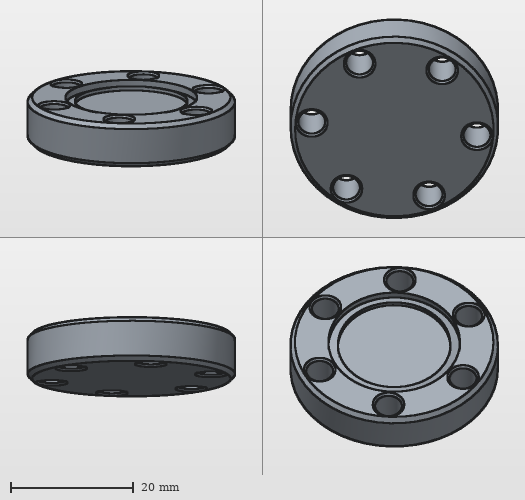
import cadquery as cq

flange_diameter = 33.78
flange_height = 7.23
edge_chamfer = 0.75

recess_diameter = 21.4
recess_depth = 1.2
knife_edge_depth = 0.65
centre_diameter = 18.3
centre_depth = 1.35

bolt_count = 6
bolt_circle_diameter = 27.0
bolt_diameter = 4.4
bolt_chamfer = 0.37


def flange_body():
    """Round disc standing on Z = 0 with both rims chamfered."""
    disc = cq.Workplane("XY").circle(flange_diameter / 2).extrude(flange_height)
    return disc.edges("%CIRCLE").chamfer(edge_chamfer)


def sealing_recess():
    """Revolved cutter whose floor leaves a raised knife edge around the centre."""
    profile = (
        cq.Workplane("XZ")
        .moveTo(0, flange_height)
        .lineTo(recess_diameter / 2, flange_height)
        .lineTo(recess_diameter / 2, flange_height - recess_depth)
        .lineTo(centre_diameter / 2, flange_height - knife_edge_depth)
        .lineTo(centre_diameter / 2, flange_height - centre_depth)
        .lineTo(0, flange_height - centre_depth)
        .close()
    )
    return profile.revolve(360, (0, 0, 0), (0, 1, 0))


def bolt_holes():
    """Ring of through-hole cutters, one on +Y, each flared at both faces."""
    half_profile = (
        cq.Workplane("XZ")
        .lineTo(bolt_diameter / 2 + bolt_chamfer, 0)
        .lineTo(bolt_diameter / 2, bolt_chamfer)
        .lineTo(bolt_diameter / 2, flange_height - bolt_chamfer)
        .lineTo(bolt_diameter / 2 + bolt_chamfer, flange_height)
        .lineTo(0, flange_height)
        .close()
    )
    cutter = half_profile.revolve(360, (0, 0, 0), (0, 1, 0)).val()
    return (
        cq.Workplane("XY")
        .polarArray(bolt_circle_diameter / 2, 90, 360, bolt_count)
        .eachpoint(lambda place: cutter.moved(place))
    )


result = flange_body().cut(sealing_recess()).cut(bolt_holes())